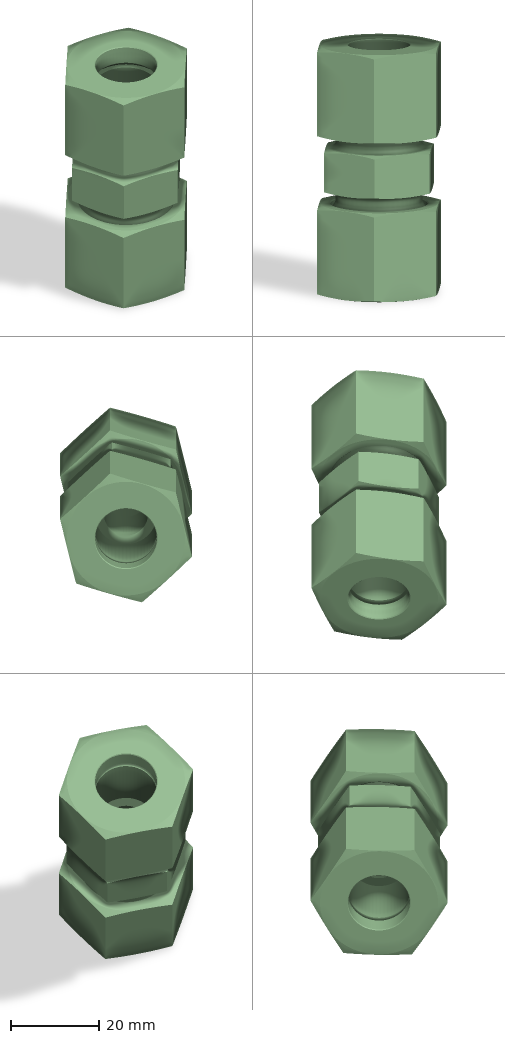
import cadquery as cq
import math

overall_length = 57.0
nut_length = 20.5
hex_length = 10.05
end_z = overall_length / 2
nut_inner_z = end_z - nut_length

nut_flats = 27.0
body_flats = 24.0
crown_inset = 0.1
crown_angle = math.radians(15)

tube_diameter = 14.0
flow_diameter = 10.0
tube_stop_z = 8.0
rim_chamfer = 0.15

thread_diameter = 22.0
neck_diameter = 19.7
groove_fillet = 1.0
neck_end_z = 7.35
runout_angle = math.radians(30)
body_end_z = 19.4

mouth_diameter = 22.45
nut_lip = 4.35
ring_outer_diameter = 19.0
ring_nose_diameter = 16.65
nut_cone_angle = math.radians(45)
seat_angle = math.radians(12)

tube_radius = tube_diameter / 2
thread_radius = thread_diameter / 2
neck_radius = neck_diameter / 2
root_radius = neck_radius + groove_fillet
runout_start_radius = neck_radius + groove_fillet * (1 - math.cos(runout_angle))
runout_start_z = neck_end_z + groove_fillet * math.sin(runout_angle)
thread_start_z = runout_start_z + (thread_radius - runout_start_radius) / math.tan(runout_angle)
mouth_radius = mouth_diameter / 2
ring_radius = ring_outer_diameter / 2
nose_radius = ring_nose_diameter / 2

lip_z = end_z - nut_lip
ring_top_z = lip_z - (nose_radius - tube_radius) / math.tan(nut_cone_angle)
ring_widest_z = ring_top_z - (ring_radius - nose_radius) / math.tan(nut_cone_angle)
seat_depth = (nose_radius - tube_radius) / math.tan(seat_angle)


def revolve(points):
    """Solid of revolution about Z from a closed (radius, z) outline."""
    return cq.Workplane("XZ").polyline(points).close().revolve(360, (0, 0, 0), (0, 1, 0))


def crowned_hexagon(flats, z_low, z_high):
    """Hexagonal prism whose corners are turned off by a shallow cone at both ends."""
    corner_radius = flats / math.sqrt(3)
    crown_radius = flats / 2 - crown_inset
    drop = (corner_radius - crown_radius) * math.tan(crown_angle)
    prism = (
        cq.Workplane("XY")
        .workplane(offset=z_low)
        .transformed(rotate=(0, 0, 90))
        .polygon(6, 2 * corner_radius)
        .extrude(z_high - z_low)
    )
    envelope = revolve([
        (0, z_low),
        (crown_radius, z_low),
        (corner_radius, z_low + drop),
        (corner_radius, z_high - drop),
        (crown_radius, z_high),
        (0, z_high),
    ])
    return prism.intersect(envelope)


def mirrored(upper):
    """Copy of an upper feature or body at the lower end."""
    return upper.mirror("XY")


def make_body():
    """Hexagon with a threaded stem at each end and a stepped bore right through."""
    half = hex_length / 2
    body = crowned_hexagon(body_flats, -half, half)
    stem = (
        cq.Workplane("XZ")
        .lineTo(root_radius, 0)
        .lineTo(root_radius, half)
        .radiusArc((neck_radius, half + groove_fillet), groove_fillet)
        .lineTo(neck_radius, neck_end_z)
        .radiusArc((runout_start_radius, runout_start_z), groove_fillet)
        .lineTo(thread_radius, thread_start_z)
        .lineTo(thread_radius, body_end_z)
        .lineTo(0, body_end_z)
        .close()
        .revolve(360, (0, 0, 0), (0, 1, 0))
    )
    socket = revolve([
        (0, 0),
        (flow_diameter / 2, 0),
        (flow_diameter / 2, tube_stop_z),
        (tube_radius, tube_stop_z),
        (tube_radius, body_end_z - seat_depth),
        (nose_radius, body_end_z),
        (0, body_end_z),
    ])
    for part in (stem, mirrored(stem)):
        body = body.union(part)
    for cut in (socket, mirrored(socket)):
        body = body.cut(cut)
    return body


def make_upper_nut():
    """Union nut whose cavity narrows in a cone to the tube hole."""
    nut = crowned_hexagon(nut_flats, nut_inner_z, end_z)
    cavity = revolve([
        (0, nut_inner_z),
        (mouth_radius, nut_inner_z),
        (thread_radius, nut_inner_z + mouth_radius - thread_radius),
        (thread_radius, ring_widest_z),
        (ring_radius, ring_widest_z),
        (tube_radius, lip_z),
        (tube_radius, end_z - rim_chamfer),
        (tube_radius + rim_chamfer, end_z),
        (0, end_z),
    ])
    return nut.cut(cavity)


def make_upper_ring():
    """Cutting ring that fills the body's conical seat and the nut's cone."""
    return revolve([
        (tube_radius, body_end_z - seat_depth),
        (nose_radius, body_end_z),
        (ring_radius, body_end_z),
        (ring_radius, ring_widest_z),
        (nose_radius, ring_top_z),
        (tube_radius, ring_top_z),
    ])


body = make_body()
upper_nut = make_upper_nut()
upper_ring = make_upper_ring()
nuts = [upper_nut, mirrored(upper_nut)]
rings = [upper_ring, mirrored(upper_ring)]
result = cq.Compound.makeCompound([part.solids().val() for part in [body] + nuts + rings])